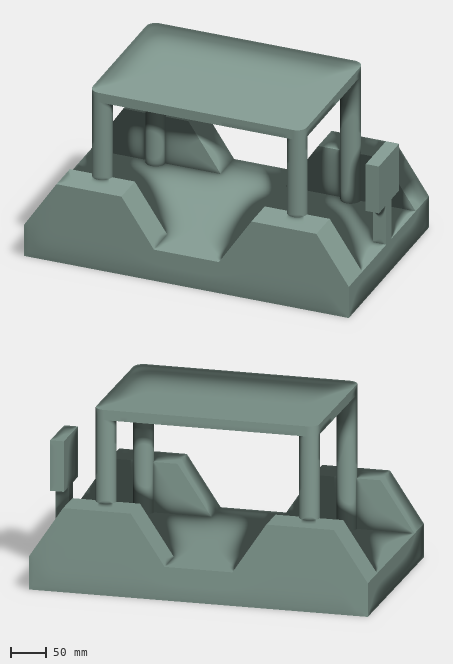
import cadquery as cq
import math

turn_angle = 1.0
overall_x = 505.0

base_width = 300.0
base_height = 50.0
turn = math.radians(turn_angle)
base_length = (overall_x - base_width * math.sin(turn)) / math.cos(turn)

block_top = 125.5
block_width = base_width / 6
slope_run = base_length / 10
block_top_length = base_length / 5

post_diameter = 30.0
post_spacing_x = 300.0
post_spacing_y = 200.0
plate_top = 265.0
plate_thickness = 15.0

sign_thickness = 20.0
stem_width = 20.0
sign_size = 75.5
sign_top = 189.0


def box_on(length, width, height, x, z):
    """Box centred on Y = 0 and on x, with its underside at z."""
    box = cq.Workplane("XY").box(length, width, height, centered=(True, True, False))
    return box.translate((x, 0, z))


def side_block(end, side):
    """Trapezoidal block, sitting at one end of one long side."""
    half_top = block_top_length / 2
    half_foot = half_top + slope_run
    center_x = end * (base_length / 2 - half_foot)
    center_y = side * (base_width - block_width) / 2
    outline = [
        (-half_foot, base_height),
        (half_foot, base_height),
        (half_top, block_top),
        (-half_top, block_top),
    ]
    block = cq.Workplane("XZ").polyline(outline).close().extrude(block_width / 2, both=True)
    return block.translate((center_x, center_y, 0))


def posts():
    """Four round posts from the slab up to the top of the plate."""
    return (
        cq.Workplane("XY", origin=(0, 0, base_height))
        .rarray(post_spacing_x, post_spacing_y, 2, 2)
        .circle(post_diameter / 2)
        .extrude(plate_top - base_height)
    )


def table_plate():
    """Plate whose rounded corners follow the posts."""
    length = post_spacing_x + post_diameter
    width = post_spacing_y + post_diameter
    plate = box_on(length, width, plate_thickness, 0, plate_top - plate_thickness)
    return plate.edges("|Z").fillet(post_diameter / 2)


def sign():
    """Square sign on a narrow stem, flush with the end of the slab."""
    center_x = (base_length - sign_thickness) / 2
    sign_bottom = sign_top - sign_size
    stem = box_on(sign_thickness, stem_width, sign_bottom - base_height, center_x, base_height)
    head = box_on(sign_thickness, sign_size, sign_size, center_x, sign_bottom)
    return stem.union(head)


body = box_on(base_length, base_width, base_height, 0, 0)
for end in (-1, 1):
    for side in (-1, 1):
        body = body.union(side_block(end, side))
body = body.union(posts()).union(table_plate()).union(sign())

result = body.rotate((0, 0, 0), (0, 0, 1), turn_angle)